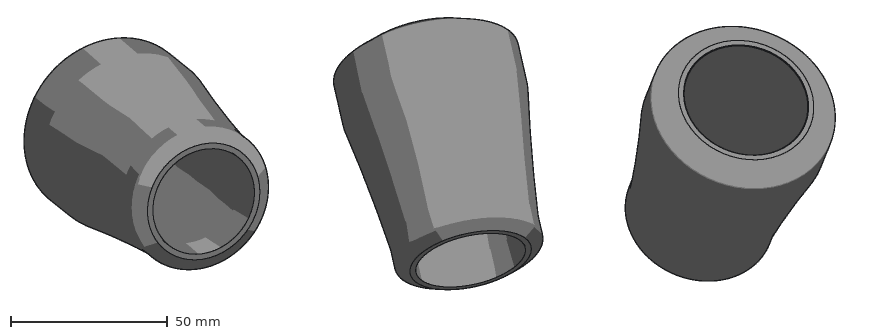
import cadquery as cq
import math

length = 76.0
large_radius = 60.3 / 2
small_radius = 48.3 / 2
large_bore_radius = 40.3 / 2
small_bore_radius = 35.7 / 2

large_collar_length = 20.0
small_collar_length = 10.2

large_bore_depth = 12.15
mouth_chamfer = 0.2

land_width = 1.9
bevel_angle = 30.0
bevel_corner_radius = 1.0

transition_sag = 0.42

small_collar_start = length - small_collar_length
bevel_slope = math.tan(math.radians(bevel_angle))
large_land_radius = large_bore_radius + land_width
small_land_radius = small_bore_radius + land_width
large_bevel_end = (large_radius - large_land_radius) * bevel_slope
small_bevel_start = length - (small_radius - small_land_radius) * bevel_slope


def transition_midpoint():
    """Middle of the outer transition, set inward from its chord by the sag."""
    run = small_collar_start - large_collar_length
    drop = large_radius - small_radius
    chord = math.hypot(run, drop)
    x = (large_collar_length + small_collar_start) / 2 - transition_sag * drop / chord
    radius = (large_radius + small_radius) / 2 - transition_sag * run / chord
    return x, radius


def revolve_about_x(profile):
    return profile.close().revolve(360, (0, 0, 0), (1, 0, 0))


def outer_body():
    profile = (
        cq.Workplane("XY")
        .lineTo(0, large_land_radius)
        .lineTo(large_bevel_end, large_radius)
        .lineTo(large_collar_length, large_radius)
        .threePointArc(transition_midpoint(), (small_collar_start, small_radius))
        .lineTo(small_bevel_start, small_radius)
        .lineTo(length, small_land_radius)
        .lineTo(length, 0)
    )
    body = revolve_about_x(profile)
    for x, radius in ((large_bevel_end, large_radius), (small_bevel_start, small_radius)):
        rim = cq.selectors.BoxSelector(
            (x - bevel_corner_radius, -radius, -radius),
            (x + bevel_corner_radius, radius, radius),
        )
        edge = body.edges(rim).edges("%CIRCLE")
        body = edge.fillet(bevel_corner_radius)
    return body


def bore():
    """Straight bores at both ends joined by a cone."""
    profile = (
        cq.Workplane("XY")
        .lineTo(0, large_bore_radius + mouth_chamfer)
        .lineTo(mouth_chamfer, large_bore_radius)
        .lineTo(large_bore_depth, large_bore_radius)
        .lineTo(small_collar_start, small_bore_radius)
        .lineTo(length, small_bore_radius)
        .lineTo(length, 0)
    )
    return revolve_about_x(profile)


result = outer_body().cut(bore())